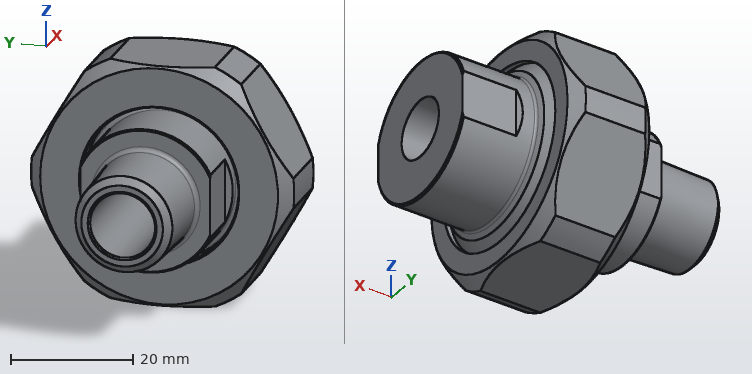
import cadquery as cq
import math

TOTAL_LENGTH = 54.0
BORE_RADIUS = 11.0 / 2
CUT_SPAN = 54.0

BORE_CHAMFER = 0.3
TIP_CHAMFER_LENGTH = 1.15
TIP_RADIUS = 6.9
TAPER_START_RADIUS = 8.2
TAPER_END = 13.2
TAPER_END_RADIUS = 8.6
COLLAR_START = 14.05
COLLAR_RADIUS = 24.5 / 2
COLLAR_CHAMFER = 0.2
TAIL_NECK_RADIUS = 18.65 / 2
TAIL_FLATS_WIDTH = 22.05
TAIL_FLATS_END = 22.95
TAIL_RUNOUT_ANGLE = 75.0
TAIL_FLANGE_FILLET = 0.8
TAIL_FLANGE_RADIUS = 30.3 / 2

NUT_START = 22.45
NUT_END = 38.5
NUT_ACROSS_FLATS = 41.0
NUT_CORNER_DIAMETER = 44.65
NUT_CHAMFER = 2.15
NUT_LIP_RADIUS = 13.4
NUT_LIP_CHAMFER = 0.2
NUT_LIP_THICKNESS = 3.5
THREAD_RADIUS = 33.1 / 2
TAIL_FLANGE_THICKNESS = 2.7

CONE_END = 39.35
CONE_END_RADIUS = 14.6
NECK_FILLET_START = 39.85
NECK_FILLET_RADIUS_AT_START = 13.55
NECK_FILLET_END = 40.4
FEMALE_RADIUS = 26.5 / 2
FEMALE_END_CHAMFER = 0.25
FEMALE_FLATS_WIDTH = 24.95
FEMALE_FLATS_START = 43.45
FEMALE_RUNOUT_ANGLE = 45.0

FLANGE_START = NUT_START + NUT_LIP_THICKNESS
SEAT = FLANGE_START + TAIL_FLANGE_THICKNESS


def revolve_about_x(profile):
    """Revolve a closed XY profile of (axial place, radius) points about X."""
    return profile.close().revolve(360, (0, 0, 0), (1, 0, 0))


def wrench_flat_cutter(flat_y, runout_x, runout_angle, open_direction):
    """Block outside Y = flat_y with a sloping run-out, open towards +X or -X."""
    runout_length = CUT_SPAN / math.tan(math.radians(runout_angle))
    far_x = runout_x + open_direction * CUT_SPAN
    return (
        cq.Workplane("XY")
        .workplane(offset=-CUT_SPAN / 2)
        .moveTo(runout_x, flat_y)
        .lineTo(far_x, flat_y)
        .lineTo(far_x, flat_y + CUT_SPAN)
        .lineTo(runout_x - open_direction * runout_length, flat_y + CUT_SPAN)
        .close()
        .extrude(CUT_SPAN)
    )


def cut_wrench_flats(body, width, runout_x, runout_angle, open_direction):
    """Cut two opposite flats across Y."""
    cutter = wrench_flat_cutter(width / 2, runout_x, runout_angle, open_direction)
    return body.cut(cutter).cut(cutter.mirror("XZ"))


def make_tail_piece():
    """Tapered male end, collar with wrench flats, and the flange held by the nut lip."""
    fillet = TAIL_FLANGE_FILLET
    arc_offset = fillet * (1 - math.sqrt(0.5))
    neck_mid_x = TAPER_END + (COLLAR_START - TAPER_END) * math.sqrt(0.5)
    neck_mid_radius = TAIL_NECK_RADIUS - (TAIL_NECK_RADIUS - TAPER_END_RADIUS) * math.sqrt(0.5)
    profile = (
        cq.Workplane("XY")
        .moveTo(0, BORE_RADIUS + BORE_CHAMFER)
        .lineTo(0, TIP_RADIUS)
        .lineTo(TIP_CHAMFER_LENGTH, TAPER_START_RADIUS)
        .lineTo(TAPER_END, TAPER_END_RADIUS)
        .threePointArc((neck_mid_x, neck_mid_radius), (COLLAR_START, TAIL_NECK_RADIUS))
        .lineTo(COLLAR_START, COLLAR_RADIUS - COLLAR_CHAMFER)
        .lineTo(COLLAR_START + COLLAR_CHAMFER, COLLAR_RADIUS)
        .lineTo(FLANGE_START - fillet, COLLAR_RADIUS)
        .threePointArc(
            (FLANGE_START - arc_offset, COLLAR_RADIUS + arc_offset),
            (FLANGE_START, COLLAR_RADIUS + fillet),
        )
        .lineTo(FLANGE_START, TAIL_FLANGE_RADIUS)
        .lineTo(SEAT, TAIL_FLANGE_RADIUS)
        .lineTo(SEAT, BORE_RADIUS)
        .lineTo(BORE_CHAMFER, BORE_RADIUS)
    )
    body = revolve_about_x(profile)
    return cut_wrench_flats(body, TAIL_FLATS_WIDTH, TAIL_FLATS_END, TAIL_RUNOUT_ANGLE, -1)


def make_union_nut():
    """Hexagon with turned corners, a lip around the collar and a threaded bore."""
    length = NUT_END - NUT_START
    hexagon_corner_diameter = NUT_ACROSS_FLATS / math.cos(math.radians(30))
    hexagon = (
        cq.Workplane("YZ")
        .workplane(offset=NUT_START)
        .polygon(6, hexagon_corner_diameter)
        .extrude(length)
    )
    turned_blank = (
        cq.Workplane("YZ")
        .workplane(offset=NUT_START)
        .circle(NUT_CORNER_DIAMETER / 2)
        .extrude(length)
        .edges()
        .chamfer(NUT_CHAMFER)
    )
    bore_profile = (
        cq.Workplane("XY")
        .moveTo(NUT_START, 0)
        .lineTo(NUT_START, NUT_LIP_RADIUS + NUT_LIP_CHAMFER)
        .lineTo(NUT_START + NUT_LIP_CHAMFER, NUT_LIP_RADIUS)
        .lineTo(FLANGE_START, NUT_LIP_RADIUS)
        .lineTo(FLANGE_START, THREAD_RADIUS)
        .lineTo(NUT_END, THREAD_RADIUS)
        .lineTo(NUT_END, 0)
    )
    return hexagon.intersect(turned_blank).cut(revolve_about_x(bore_profile))


def make_female_end():
    """Threaded head inside the nut, cone, and a cylinder with wrench flats."""
    cone_start = CONE_END - (THREAD_RADIUS - CONE_END_RADIUS)
    fillet_mid_x = NECK_FILLET_END - (NECK_FILLET_END - NECK_FILLET_START) * math.sqrt(0.5)
    fillet_mid_radius = (
        FEMALE_RADIUS + (NECK_FILLET_RADIUS_AT_START - FEMALE_RADIUS) * (1 - math.sqrt(0.5))
    )
    profile = (
        cq.Workplane("XY")
        .moveTo(SEAT, BORE_RADIUS)
        .lineTo(SEAT, THREAD_RADIUS)
        .lineTo(cone_start, THREAD_RADIUS)
        .lineTo(CONE_END, CONE_END_RADIUS)
        .lineTo(NECK_FILLET_START, NECK_FILLET_RADIUS_AT_START)
        .threePointArc((fillet_mid_x, fillet_mid_radius), (NECK_FILLET_END, FEMALE_RADIUS))
        .lineTo(TOTAL_LENGTH - FEMALE_END_CHAMFER, FEMALE_RADIUS)
        .lineTo(TOTAL_LENGTH, FEMALE_RADIUS - FEMALE_END_CHAMFER)
        .lineTo(TOTAL_LENGTH, BORE_RADIUS)
    )
    body = revolve_about_x(profile)
    return cut_wrench_flats(body, FEMALE_FLATS_WIDTH, FEMALE_FLATS_START, FEMALE_RUNOUT_ANGLE, 1)


tail_piece = make_tail_piece()
union_nut = make_union_nut()
female_end = make_female_end()

result = cq.Compound.makeCompound([tail_piece.val(), union_nut.val(), female_end.val()])